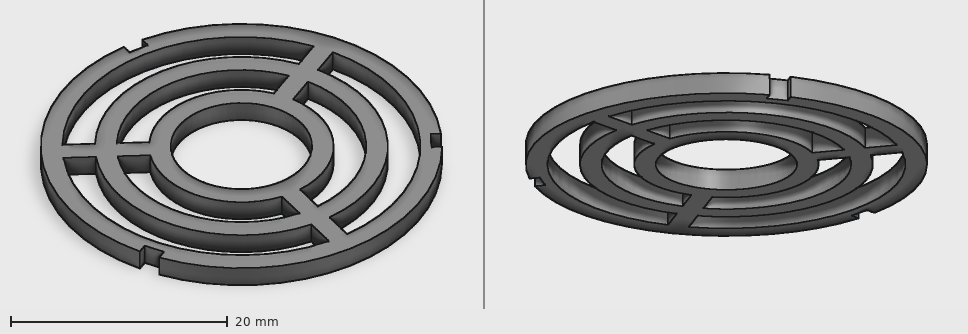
import cadquery as cq

outer_diameter = 37.0
thickness = 2.0
ring_width = 2.0
ring_pitch = 5.0
ring_count = 3
arm_count = 3
spoke_width = 2.0
notch_width = 2.0
notch_depth = 1.0

outer_radius = outer_diameter / 2
arm_step = 360 / arm_count
first_spoke_angle = 90
first_notch_angle = -90


def ring(radius):
    """Flat ring with the given outer radius, resting on Z = 0."""
    return cq.Workplane("XY").circle(radius).circle(radius - ring_width).extrude(thickness)


def radial_bar(start, end, width, angle):
    """Rectangular bar between two radii, turned to the given angle about Z."""
    bar = cq.Workplane("XY").box(end - start, width, thickness, centered=(False, True, False))
    return bar.translate((start, 0, 0)).rotate((0, 0, 0), (0, 0, 1), angle)


ring_radii = [outer_radius - i * ring_pitch for i in range(ring_count)]
result = ring(ring_radii[0])
for radius in ring_radii[1:]:
    result = result.union(ring(radius))

spoke_start = ring_radii[-1] - ring_width / 2
spoke_end = outer_radius - ring_width / 2
for i in range(arm_count):
    angle = first_spoke_angle + i * arm_step
    result = result.union(radial_bar(spoke_start, spoke_end, spoke_width, angle))

notch_floor = outer_radius - notch_depth
notch_end = outer_radius + notch_depth
for i in range(arm_count):
    angle = first_notch_angle + i * arm_step
    result = result.cut(radial_bar(notch_floor, notch_end, notch_width, angle))